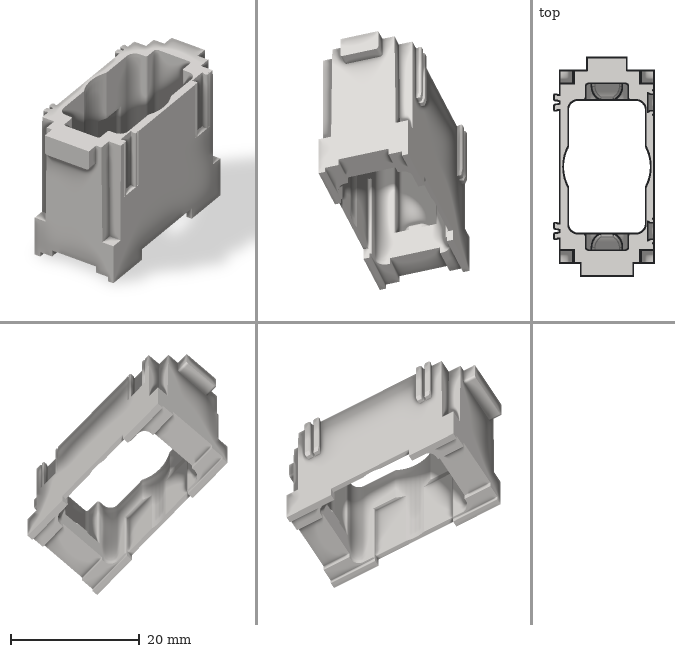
import cadquery as cq
import math

BODY_X = 14.7
BODY_Y = 30.0
HEIGHT = 24.4
HALF_X = BODY_X / 2
HALF_Y = BODY_Y / 2

OVERALL_Y = 34
TAB_REACH = (OVERALL_Y - BODY_Y) / 2
TAB_OVERLAP = 0.35
FRONT_TAB_WIDTH = 8.23
BACK_TAB_WIDTH = 6.22
TAB_HEIGHT = 3.5
TAB_FILLET = 0.4

NOTCH_FLOOR_Z = 6.87
NOTCH_FLOOR_SIZE = 2.05
NOTCH_RIM_X = 2.25
NOTCH_RIM_Y = 2.1

CAVITY_X = 12.05
CAVITY_Y = 20.75
CAVITY_RADIUS = 1.5
BULGE_RADIUS = 6.8

FOOT_GAP_Y = 14.0
DEEP_SLOT_X = 8.23
SHALLOW_SLOT_X = 12.65
DEEP_SLOT_HEIGHT = 1.95
SHALLOW_SLOT_HEIGHT = 0.8

RECESS_X = 13.23
RECESS_Y = FOOT_GAP_Y
RECESS_TOP_Z = HEIGHT - 8.5
RECESS_FILLET = 0.29

POCKET_X = 6.65
POCKET_END_Y = 12.95
POCKET_FLOOR_Z = NOTCH_FLOOR_Z
POCKET_CORNER_RADIUS = 0.48
POCKET_MOUTH_FILLET = 0.35
BOSS_RADIUS = 2.4
BOSS_CENTRE_Y = POCKET_END_Y - 0.4
BOSS_HEIGHT = 1.02
BOSS_EMBED = 0.35
BOSS_FILLET = 0.5

GUIDE_Y = 10.0
GUIDE_LENGTH = 10.0
RIB_REACH = 0.92
RIB_TIP_HALF = 1.3
RIB_ROOT_HALF = 1.173
RIB_NECK = 0.35
RIB_TIP_CHAMFER = 0.15
RIB_EMBED = 0.35
SPLIT_HALF = 0.27
SPLIT_ROOT_HALF = 0.15
SPLIT_CHAMFER = 0.2
LEAD_LENGTH = 1.02
LEAD_INSET = 0.25
GROOVE_DEPTH = 1.02
GROOVE_MOUTH_HALF = 1.3
GROOVE_FLOOR_HALF = 1.5
GROOVE_LIP = 0.6
GROOVE_MOUTH_CHAMFER = 0.1
RELIEF_INNER = 1.7
RELIEF_OUTER = 2.0
RELIEF_DEPTH = 0.25


def block(size_x, size_y, z_low, z_high):
    """Box centred on X and Y between two heights."""
    return cq.Workplane("XY", origin=(0, 0, z_low)).rect(size_x, size_y).extrude(z_high - z_low)


def rim_prism(outline, depth):
    """Closed XY outline extruded down from the rim."""
    return cq.Workplane("XY", origin=(0, 0, HEIGHT)).polyline(outline).close().extrude(-depth)


def mirrored_in_y(half_outline):
    """Closed outline from its +Y half, listed from one end to the other."""
    return half_outline + [(x, -y) for x, y in reversed(half_outline)]


def end_tab(width, side):
    """Tab overhanging one end, with rounded lower corners; side is +1 or -1 along Y."""
    length = TAB_REACH + TAB_OVERLAP
    tab = cq.Workplane("XY").box(width, length, TAB_HEIGHT).edges("|Y and <Z").fillet(TAB_FILLET)
    return tab.translate((0, side * (OVERALL_Y - length) / 2, HEIGHT - TAB_HEIGHT / 2))


def corner_notch(x_side, y_side):
    """Corner cutter that widens slightly towards the rim."""
    return (
        cq.Workplane("XY", origin=(x_side * HALF_X, y_side * HALF_Y, NOTCH_FLOOR_Z))
        .rect(2 * NOTCH_FLOOR_SIZE, 2 * NOTCH_FLOOR_SIZE)
        .workplane(offset=HEIGHT - NOTCH_FLOOR_Z)
        .rect(2 * NOTCH_RIM_X, 2 * NOTCH_RIM_Y)
        .loft(ruled=True)
    )


def cavity():
    """Through opening with its wall bulges, end pockets and lower wall recesses."""
    opening = block(CAVITY_X, CAVITY_Y, 0, HEIGHT).edges("|Z").fillet(CAVITY_RADIUS)
    pockets = block(POCKET_X, 2 * POCKET_END_Y, POCKET_FLOOR_Z, HEIGHT)
    opening = opening.union(pockets.edges("|Z").fillet(POCKET_CORNER_RADIUS))
    for x_side in (-1, 1):
        for y_side in (-1, 1):
            mouth = (x_side * POCKET_X / 2, y_side * CAVITY_Y / 2, (POCKET_FLOOR_Z + HEIGHT) / 2)
            opening = opening.edges(cq.selectors.NearestToPointSelector(mouth)).fillet(POCKET_MOUTH_FILLET)

    bulges = cq.Workplane("XY").circle(BULGE_RADIUS).extrude(HEIGHT)
    recess = block(RECESS_X, RECESS_Y, 0, RECESS_TOP_Z).edges("|Z").fillet(RECESS_FILLET)
    lower_core = block(CAVITY_X, CAVITY_Y - 2 * CAVITY_RADIUS, 0, RECESS_TOP_Z)
    recess = recess.union(lower_core)
    for x_side in (-1, 1):
        for y_side in (-1, 1):
            step = (x_side * CAVITY_X / 2, y_side * RECESS_Y / 2, RECESS_TOP_Z / 2)
            recess = recess.edges(cq.selectors.NearestToPointSelector(step)).fillet(RECESS_FILLET)
    return opening.union(bulges).union(recess)


def pocket_boss(side):
    """Half-round boss on a pocket floor, cut flat at the cavity wall, rounded along its top edge."""
    flat_y = CAVITY_Y / 2
    tongue = (
        cq.Workplane("XY", origin=(0, BOSS_CENTRE_Y + BOSS_RADIUS, POCKET_FLOOR_Z))
        .slot2D(4 * BOSS_RADIUS, 2 * BOSS_RADIUS, 90)
        .extrude(BOSS_HEIGHT)
        .faces(">Z")
        .edges()
        .fillet(BOSS_FILLET)
    )
    length = POCKET_END_Y + BOSS_EMBED - flat_y
    trim = (
        block(2 * BOSS_RADIUS, length, POCKET_FLOOR_Z, POCKET_FLOOR_Z + BOSS_HEIGHT)
        .translate((0, flat_y + length / 2, 0))
        .edges(">Z and <Y")
        .fillet(BOSS_FILLET)
    )
    boss = tongue.intersect(trim)
    return boss if side > 0 else boss.mirror("XZ")


def guide_rib(centre_y):
    """Split rib on the -X face whose lower end tapers away."""
    root_x = -HALF_X
    tip_x = root_x - RIB_REACH
    embed_x = root_x + RIB_EMBED
    shoulder_x = root_x - RIB_NECK
    outline = mirrored_in_y([
        (embed_x, RIB_ROOT_HALF),
        (shoulder_x, RIB_ROOT_HALF),
        (shoulder_x - RIB_TIP_CHAMFER, RIB_TIP_HALF),
        (tip_x + RIB_TIP_CHAMFER, RIB_TIP_HALF),
        (tip_x, RIB_TIP_HALF - RIB_TIP_CHAMFER),
    ])
    split = mirrored_in_y([
        (root_x, SPLIT_ROOT_HALF),
        (root_x - RIB_NECK, SPLIT_HALF),
        (tip_x + SPLIT_CHAMFER, SPLIT_HALF),
        (tip_x, SPLIT_HALF + SPLIT_CHAMFER),
    ])
    rib = rim_prism(outline, GUIDE_LENGTH).cut(rim_prism(split, GUIDE_LENGTH))

    straight_length = GUIDE_LENGTH - LEAD_LENGTH
    envelope_x = 2 * (RIB_REACH + RIB_EMBED)
    envelope = block(envelope_x, 2 * RIB_TIP_HALF, HEIGHT - straight_length, HEIGHT)
    lead_taper = math.degrees(math.atan(LEAD_INSET / LEAD_LENGTH))
    envelope = envelope.faces("<Z").wires().toPending().workplane().extrude(LEAD_LENGTH, taper=lead_taper)
    envelope = envelope.translate((tip_x + envelope_x / 2, 0, 0))
    return rib.intersect(envelope).translate((0, centre_y, 0))


def guide_groove(centre_y):
    """Undercut groove in the +X face with a small relief nick on each side."""
    face_x = HALF_X
    outline = mirrored_in_y([
        (face_x, GROOVE_MOUTH_HALF + GROOVE_MOUTH_CHAMFER),
        (face_x - GROOVE_MOUTH_CHAMFER, GROOVE_MOUTH_HALF),
        (face_x - GROOVE_LIP, GROOVE_MOUTH_HALF),
        (face_x - GROOVE_DEPTH, GROOVE_FLOOR_HALF),
    ])
    groove = rim_prism(outline, GUIDE_LENGTH)
    for side in (-1, 1):
        nick = [
            (face_x, side * RELIEF_INNER),
            (face_x - RELIEF_DEPTH, side * (RELIEF_INNER + RELIEF_DEPTH)),
            (face_x, side * RELIEF_OUTER),
        ]
        groove = groove.union(rim_prism(nick, GUIDE_LENGTH))
    return groove.translate((0, centre_y, 0))


body = block(BODY_X, BODY_Y, 0, HEIGHT)
body = body.union(end_tab(FRONT_TAB_WIDTH, -1)).union(end_tab(BACK_TAB_WIDTH, 1))
for x_side in (-1, 1):
    for y_side in (-1, 1):
        body = body.cut(corner_notch(x_side, y_side))

body = body.cut(cavity())
for y_side in (-1, 1):
    body = body.union(pocket_boss(y_side))

body = body.cut(block(BODY_X, FOOT_GAP_Y, 0, DEEP_SLOT_HEIGHT))
body = body.cut(block(DEEP_SLOT_X, BODY_Y, 0, DEEP_SLOT_HEIGHT))
body = body.cut(block(SHALLOW_SLOT_X, BODY_Y, 0, SHALLOW_SLOT_HEIGHT))

for guide_y in (-GUIDE_Y, GUIDE_Y):
    body = body.union(guide_rib(guide_y))
    body = body.cut(guide_groove(guide_y))

result = body